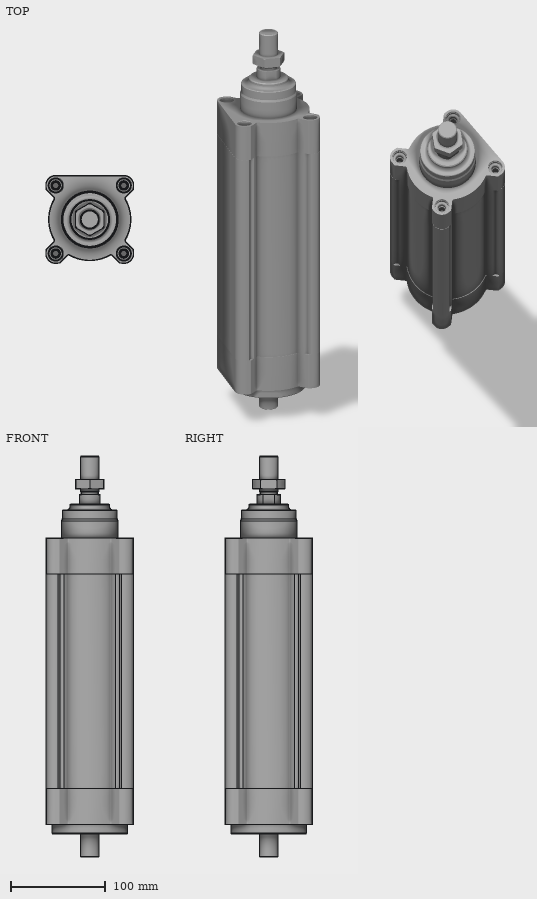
import cadquery as cq
import math

SCREW_PITCH = 72.0
CAP_LUG_RADIUS = 10.25
BARREL_LUG_RADIUS = 10.5
CAP_FILLET = 1.5
BARREL_FILLET = 1.0
CAP_CORE_RADIUS = 43.5
BARREL_CORE_RADIUS = 42.8
CAP_HEIGHT = 38.0
BARREL_LENGTH = 227.0

STEP_OUTER = 33.7
STEP_INNER = 31.2
STEP_CORNER = 27.4

HOLE_RIM_DIAMETER = 15.8
HOLE_BORE_DIAMETER = 15.0
HOLE_SEAT_DIAMETER = 14.1
HOLE_SINK_DIAMETER = 10.0
HOLE_THREAD_DIAMETER = 8.38
HOLE_CORE_DIAMETER = 6.65
HOLE_BORE_DEPTH = 2.0
HOLE_SEAT_DEPTH = 5.0
HOLE_THREAD_DEPTH = 10.0
HOLE_DEPTH = 20.0

FLANGE_DIAMETER = 80.0
FLANGE_HEIGHT = 10.0
FLANGE_CHAMFER = 1.0
SHAFT_DIAMETER = 20.0
SHAFT_LENGTH = 24.0
SHAFT_TIP_DIAMETER = 19.0

NECK_DIAMETER = 60.0
NECK_HEIGHT = 18.0
NECK_TAPER_HEIGHT = 2.3
COLLAR_DIAMETER = 58.0
COLLAR_CHAMFER = 0.6
COLLAR_TOP = 29.5
WIPER_WAIST = 32.7
WIPER_TOP = 36.0
WIPER_BASE_DIAMETER = 51.2
WIPER_WAIST_DIAMETER = 42.0
WIPER_DIAMETER = 40.0

ROD_DIAMETER = 25.0
ROD_FLAT_WIDTH = 22.0
ROD_SHOULDER = 46.0
THREAD_DIAMETER = 20.0
THREAD_ROOT_DIAMETER = 18.16
THREAD_LENGTH = 40.5
UNDERCUT_LENGTH = 2.6

NUT_WIDTH = 30.0
NUT_HEIGHT = 10.0
NUT_FACE_DIAMETER = 33.0
NUT_BEVEL_ANGLE = 30.0
NUT_GAP = 6.0

EDGE_REACH = 0.5

screw_offset = SCREW_PITCH / 2
half_width = screw_offset + BARREL_LUG_RADIUS
lug_wall_shift = CAP_LUG_RADIUS * math.sqrt(2)
barrel_bottom = CAP_HEIGHT
barrel_top = barrel_bottom + BARREL_LENGTH
head_top = barrel_top + CAP_HEIGHT
shoulder_z = head_top + ROD_SHOULDER


def cylinder(diameter, bottom, height):
    return cq.Workplane("XY").workplane(offset=bottom).circle(diameter / 2).extrude(height)


def revolve_profile(points):
    """Turn a closed (radius, height) outline about the Z axis."""
    return cq.Workplane("XZ").polyline(points).close().revolve(360, (0, 0), (0, 1))


def lug_outline(lug_radius, side_points):
    """Diagonal lug with a rounded end; side_points lead from the axis to the start of its arc."""
    arc_mid = screw_offset + lug_radius / math.sqrt(2)
    mirrored = [(y, x) for x, y in reversed(side_points)]
    outline = cq.Workplane("XY").polyline([(0, 0)] + side_points)
    outline = outline.threePointArc((arc_mid, arc_mid), mirrored[0])
    for point in mirrored[1:]:
        outline = outline.lineTo(*point)
    return outline.close()


def cap_lug_outline():
    side = screw_offset + CAP_LUG_RADIUS
    return lug_outline(CAP_LUG_RADIUS, [
        (lug_wall_shift, 0),
        (side, side - lug_wall_shift),
        (side, screw_offset),
    ])


def barrel_lug_outline():
    step_side = STEP_CORNER + lug_wall_shift
    arc_end = screw_offset + math.sqrt(BARREL_LUG_RADIUS**2 - (screw_offset - STEP_OUTER)**2)
    return lug_outline(BARREL_LUG_RADIUS, [
        (lug_wall_shift, 0),
        (step_side, STEP_CORNER),
        (step_side, STEP_INNER),
        (arc_end, STEP_OUTER),
    ])


def wall_point(distance):
    """Point on a lug's wall at this distance from the axis."""
    along = math.sqrt(distance**2 - CAP_LUG_RADIUS**2)
    return ((along + CAP_LUG_RADIUS) / math.sqrt(2), (along - CAP_LUG_RADIUS) / math.sqrt(2))


def fillet_edges(block, x, y, height, radius):
    """Round the upright edges at (x, y) and its mirror places, outside the flat +Y side."""
    for edge_x, edge_y in [(x, y), (x, -y), (-x, y), (-x, -y), (y, -x), (-y, -x)]:
        picker = cq.selectors.BoxSelector(
            (edge_x - EDGE_REACH, edge_y - EDGE_REACH, 0),
            (edge_x + EDGE_REACH, edge_y + EDGE_REACH, height),
        )
        block = block.edges(picker).fillet(radius)
    return block


def lugged_block(core_radius, lug, lug_reach, height):
    """Round core with four corner lugs and a flat +Y side between two of them."""
    block = cylinder(2 * core_radius, 0, height)
    for quarter in range(4):
        block = block.union(lug.rotate((0, 0, 0), (0, 0, 1), 90 * quarter))
    flat_side = cq.Workplane("XY").box(
        2 * screw_offset, lug_reach, height, centered=(True, False, False)
    )
    return block.union(flat_side)


def cap_block(bottom):
    """Lugged block of a cap, with rounded corners on both ends of each lug wall."""
    reach = screw_offset + CAP_LUG_RADIUS
    lug = cap_lug_outline().extrude(CAP_HEIGHT)
    block = lugged_block(CAP_CORE_RADIUS, lug, reach, CAP_HEIGHT)
    for x, y in (wall_point(CAP_CORE_RADIUS), (reach, reach - lug_wall_shift)):
        block = fillet_edges(block, x, y, CAP_HEIGHT, CAP_FILLET)
    return block.translate((0, 0, bottom))


def fastening_hole():
    """Stepped hole with a bevelled rim and a countersunk thread, going down from Z = 0."""
    rim_bevel = (HOLE_RIM_DIAMETER - HOLE_BORE_DIAMETER) / 2
    sink_depth = (HOLE_SINK_DIAMETER - HOLE_THREAD_DIAMETER) / 2
    return revolve_profile([
        (0, 0),
        (HOLE_RIM_DIAMETER / 2, 0),
        (HOLE_BORE_DIAMETER / 2, -rim_bevel),
        (HOLE_BORE_DIAMETER / 2, -HOLE_BORE_DEPTH),
        (HOLE_SEAT_DIAMETER / 2, -HOLE_BORE_DEPTH),
        (HOLE_SEAT_DIAMETER / 2, -HOLE_SEAT_DEPTH),
        (HOLE_SINK_DIAMETER / 2, -HOLE_SEAT_DEPTH),
        (HOLE_THREAD_DIAMETER / 2, -HOLE_SEAT_DEPTH - sink_depth),
        (HOLE_THREAD_DIAMETER / 2, -HOLE_THREAD_DEPTH),
        (HOLE_CORE_DIAMETER / 2, -HOLE_THREAD_DEPTH),
        (HOLE_CORE_DIAMETER / 2, -HOLE_DEPTH),
        (0, -HOLE_DEPTH),
    ])


def make_rear_cap():
    cap = cap_block(0)
    flange = cylinder(FLANGE_DIAMETER, -FLANGE_HEIGHT, FLANGE_HEIGHT)
    flange = flange.faces("<Z").chamfer(FLANGE_CHAMFER)
    shaft = cylinder(SHAFT_DIAMETER, -FLANGE_HEIGHT - SHAFT_LENGTH, SHAFT_LENGTH)
    shaft = shaft.faces("<Z").chamfer((SHAFT_DIAMETER - SHAFT_TIP_DIAMETER) / 2)
    return cap.union(flange).union(shaft)


def make_barrel():
    lug = barrel_lug_outline().extrude(BARREL_LENGTH)
    barrel = lugged_block(BARREL_CORE_RADIUS, lug, half_width, BARREL_LENGTH)
    barrel = fillet_edges(barrel, *wall_point(BARREL_CORE_RADIUS), BARREL_LENGTH, BARREL_FILLET)
    return barrel.translate((0, 0, barrel_bottom))


def make_head():
    base = (WIPER_BASE_DIAMETER / 2, COLLAR_TOP)
    waist = (WIPER_WAIST_DIAMETER / 2, WIPER_WAIST)
    groove_width = base[0] - waist[0]
    groove_height = waist[1] - base[1]
    groove_mid = (
        base[0] - groove_width * math.sin(math.pi / 4),
        waist[1] - groove_height * math.sin(math.pi / 4),
    )
    lip_bevel = (WIPER_WAIST_DIAMETER - WIPER_DIAMETER) / 2
    neck = (
        cq.Workplane("XZ")
        .polyline([
            (0, 0),
            (NECK_DIAMETER / 2, 0),
            (NECK_DIAMETER / 2, NECK_HEIGHT),
            (COLLAR_DIAMETER / 2, NECK_HEIGHT + NECK_TAPER_HEIGHT),
            (COLLAR_DIAMETER / 2, COLLAR_TOP - COLLAR_CHAMFER),
            (COLLAR_DIAMETER / 2 - COLLAR_CHAMFER, COLLAR_TOP),
            base,
        ])
        .threePointArc(groove_mid, waist)
        .lineTo(WIPER_WAIST_DIAMETER / 2, WIPER_TOP - lip_bevel)
        .lineTo(WIPER_DIAMETER / 2, WIPER_TOP)
        .lineTo(0, WIPER_TOP)
        .close()
        .revolve(360, (0, 0), (0, 1))
        .translate((0, 0, head_top))
    )
    head = cap_block(barrel_top).union(neck)
    for x in (-screw_offset, screw_offset):
        for y in (-screw_offset, screw_offset):
            head = head.cut(fastening_hole().translate((x, y, head_top)))
    return head.cut(cylinder(ROD_DIAMETER, barrel_top, CAP_HEIGHT + WIPER_TOP))


def make_rod():
    flats_bottom = head_top + WIPER_TOP
    rod = cylinder(ROD_DIAMETER, barrel_top, shoulder_z - barrel_top)
    flats_height = shoulder_z - flats_bottom
    slab = (
        cq.Workplane("XY")
        .box(ROD_DIAMETER, ROD_DIAMETER, flats_height, centered=(False, True, False))
        .translate((ROD_FLAT_WIDTH / 2, 0, flats_bottom))
    )
    rod = rod.cut(slab).cut(slab.mirror("YZ"))
    undercut = cylinder(THREAD_ROOT_DIAMETER, shoulder_z, UNDERCUT_LENGTH)
    thread = cylinder(THREAD_DIAMETER, shoulder_z + UNDERCUT_LENGTH, THREAD_LENGTH - UNDERCUT_LENGTH)
    thread = thread.faces("|Z").chamfer((THREAD_DIAMETER - THREAD_ROOT_DIAMETER) / 2)
    return rod.union(undercut).union(thread)


def make_nut():
    bottom = shoulder_z + NUT_GAP
    corner_diameter = NUT_WIDTH / math.cos(math.pi / 6)
    nut = cq.Workplane("XY").polygon(6, corner_diameter).extrude(NUT_HEIGHT)
    nut = nut.rotate((0, 0, 0), (0, 0, 1), 90)
    rim = (corner_diameter - NUT_FACE_DIAMETER) / 2
    bevel_height = rim * math.tan(math.radians(NUT_BEVEL_ANGLE))
    bevelled = revolve_profile([
        (0, 0),
        (NUT_FACE_DIAMETER / 2, 0),
        (corner_diameter / 2, bevel_height),
        (corner_diameter / 2, NUT_HEIGHT - bevel_height),
        (NUT_FACE_DIAMETER / 2, NUT_HEIGHT),
        (0, NUT_HEIGHT),
    ])
    nut = nut.intersect(bevelled).translate((0, 0, bottom))
    return nut.cut(cylinder(THREAD_DIAMETER, bottom, NUT_HEIGHT))


rear_cap = make_rear_cap()
barrel = make_barrel()
head = make_head()
rod = make_rod()
nut = make_nut()

result = cq.Compound.makeCompound([rear_cap.val(), barrel.val(), head.val(), rod.val(), nut.val()])